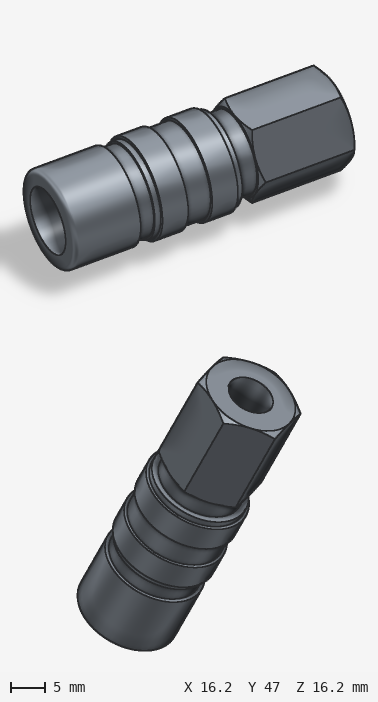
import cadquery as cq
import math

overall_length = 47.0
mouth_y = -overall_length / 2

sleeve_diameter = 15.7
sleeve_length = 11.0
sleeve_rounding = 0.8
groove_diameter = 14.5
groove_length = 2.5
collar_diameter = 15.2
collar_lip_length = 1.0
band_diameter = 16.2
band_length = 4.25
band_spacing = 4.0
neck_diameter = 13.2
neck_length = 3.0

hex_across_flats = 14.0
hex_sides = 6
hex_bevel_angle = 30.0

socket_diameter = 10.5
socket_depth = 7.0
seat_diameter = 9.2
seat_depth = 9.0
passage_diameter = 7.0

middle_sections = [
    (groove_diameter, groove_length),
    (collar_diameter, collar_lip_length),
    (band_diameter, band_length),
    (collar_diameter, band_spacing),
    (band_diameter, band_length),
    (collar_diameter, collar_lip_length),
    (neck_diameter, neck_length),
]
sleeve_end_y = mouth_y + sleeve_length
hex_start_y = sleeve_end_y + sum(length for _, length in middle_sections)
hex_end_y = mouth_y + overall_length


def axial_workplane(y):
    """Workplane across the axis at y, facing +Y with its x direction along +X."""
    return cq.Workplane(cq.Plane(origin=(0, y, 0), xDir=(1, 0, 0), normal=(0, 1, 0)))


def cylinder(diameter, start_y, length):
    """Solid cylinder along +Y, starting at start_y."""
    return axial_workplane(start_y).circle(diameter / 2).extrude(length)


def turned_body():
    """Rounded mouth sleeve followed by the stepped outer sections."""
    body = cylinder(sleeve_diameter, mouth_y, sleeve_length)
    body = body.faces("<Y").edges().fillet(sleeve_rounding)
    y = sleeve_end_y
    for diameter, length in middle_sections:
        body = body.union(cylinder(diameter, y, length))
        y += length
    return body


def hexagon():
    """Hexagon with two flats facing +Z and -Z, corners bevelled at both ends."""
    across_corners = hex_across_flats / math.cos(math.pi / hex_sides)
    flat_radius = hex_across_flats / 2
    corner_radius = across_corners / 2
    bevel_length = (corner_radius - flat_radius) * math.tan(math.radians(hex_bevel_angle))
    prism = axial_workplane(hex_start_y).polygon(hex_sides, across_corners).extrude(hex_end_y - hex_start_y)
    envelope = (
        cq.Workplane("XY")
        .moveTo(0, hex_start_y)
        .lineTo(flat_radius, hex_start_y)
        .lineTo(corner_radius, hex_start_y + bevel_length)
        .lineTo(corner_radius, hex_end_y - bevel_length)
        .lineTo(flat_radius, hex_end_y)
        .lineTo(0, hex_end_y)
        .close()
        .revolve(360, (0, 0, 0), (0, 1, 0))
    )
    return prism.intersect(envelope)


def stepped_bore():
    """Socket, seat and through passage, all opening from the mouth."""
    bore = cylinder(passage_diameter, mouth_y, overall_length)
    bore = bore.union(cylinder(seat_diameter, mouth_y, seat_depth))
    return bore.union(cylinder(socket_diameter, mouth_y, socket_depth))


coupling = turned_body().union(hexagon())
result = coupling.cut(stepped_bore())